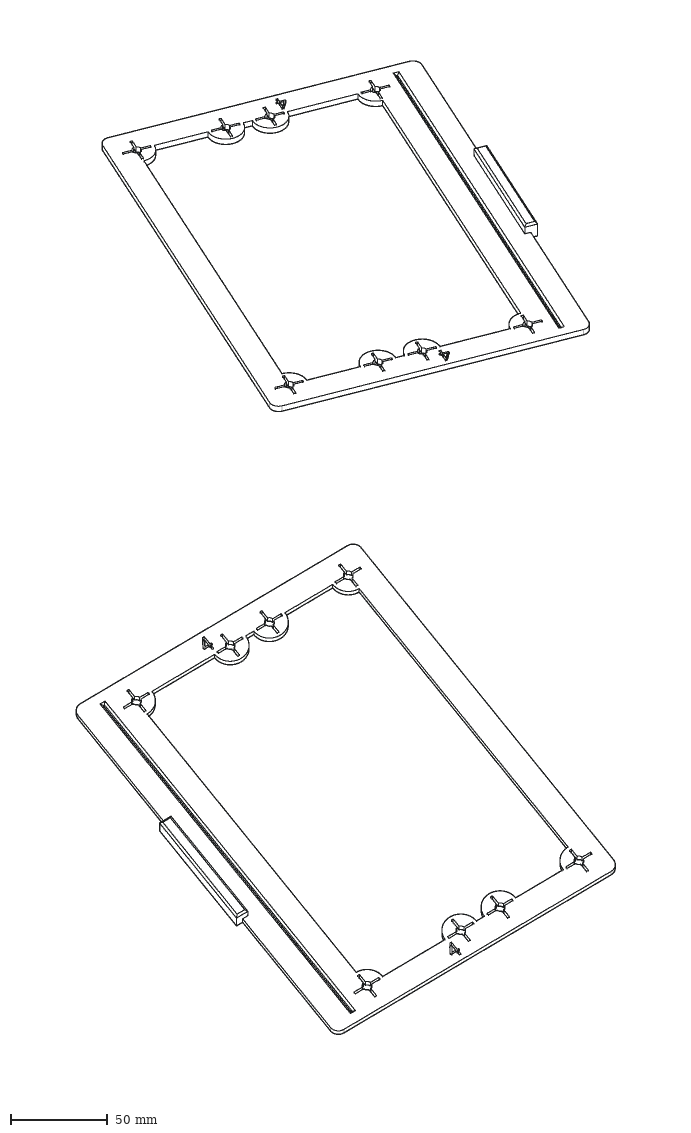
import cadquery as cq
import math

frame_length = 240.0
opening_length = 210.0
side_border = (frame_length - opening_length) / 2
top_border = 30.0
opening_height = 133.5
frame_depth = opening_height + side_border + top_border
frame_thickness = 3.5
corner_radius = 5.0

opening_right = opening_length / 2
opening_top = opening_height / 2
frame_front = -opening_top - side_border
frame_back = opening_top + top_border

mark_rows = [-opening_top, -17.0, 7.7, opening_top]
pad_radius = 9.8
mark_hole_diameter = 5.0
cross_length = 15.5
cross_width = 1.2

slit_length = 228.0
slit_width = 0.7
slit_chamfer = 1.2
slit_from_back = 15.0

handle_length = 70.0
handle_depth = 7.2
handle_height = 9.0
handle_overhang = 3.8
handle_chamfer = 1.2

index_x = opening_right + side_border / 2
index_y = 16.3
index_stroke = 1.0
stem_length = 8.6
crossbar_start = -2.0
crossbar_tail = 1.5
crossbar_reach = 3.8

stem_tip = stem_length / 2
stem_side = index_stroke / 2
crossbar_end = crossbar_start + index_stroke


def mark_positions():
    return [(side * opening_right, row) for side in (-1, 1) for row in mark_rows]


def at_marks():
    return cq.Workplane("XY").pushPoints(mark_positions())


def make_plate():
    plate = (
        cq.Workplane("XY")
        .rect(frame_length, frame_depth)
        .extrude(frame_thickness)
        .edges("|Z")
        .fillet(corner_radius)
        .translate((0, (frame_front + frame_back) / 2, 0))
    )
    opening = cq.Workplane("XY").rect(opening_length, opening_height).extrude(frame_thickness)
    return plate.cut(opening)


def make_handle():
    return (
        cq.Workplane("XY")
        .box(handle_length, handle_depth, handle_height, centered=(True, True, False))
        .faces(">Z")
        .edges()
        .chamfer(handle_chamfer)
        .translate((0, frame_back + handle_overhang - handle_depth / 2, 0))
    )


def make_slit():
    slit_y = frame_back - slit_from_back
    mouth_growth = 2 * slit_chamfer
    throat = cq.Workplane("XY").rect(slit_length - mouth_growth, slit_width).extrude(frame_thickness)
    mouth = (
        cq.Workplane("XY", origin=(0, 0, frame_thickness))
        .rect(slit_length, slit_width + mouth_growth)
        .workplane(offset=-slit_chamfer)
        .rect(slit_length - mouth_growth, slit_width)
        .loft(ruled=True)
    )
    return throat.union(mouth).translate((0, slit_y, 0))


def make_index_cutter():
    stem = cq.Workplane("XY").rect(stem_length, index_stroke).extrude(frame_thickness)
    crossbar = (
        cq.Workplane("XY")
        .moveTo(crossbar_start, -crossbar_tail)
        .lineTo(crossbar_end, -crossbar_tail)
        .lineTo(crossbar_end, crossbar_reach)
        .lineTo(crossbar_start, crossbar_reach)
        .close()
        .extrude(frame_thickness)
    )
    triangle = (
        cq.Workplane("XY")
        .moveTo(crossbar_end, stem_side)
        .lineTo(stem_tip, stem_side)
        .lineTo(crossbar_end, crossbar_reach)
        .close()
        .extrude(frame_thickness)
    )
    return stem.union(crossbar).union(triangle)


def make_island():
    slant_run = stem_tip - crossbar_end
    slant_rise = crossbar_reach - stem_side
    island_height = slant_rise - index_stroke * math.hypot(slant_run, slant_rise) / slant_run
    island_length = island_height * slant_run / slant_rise
    return (
        cq.Workplane("XY")
        .moveTo(crossbar_end, stem_side)
        .lineTo(crossbar_end + island_length, stem_side)
        .lineTo(crossbar_end, stem_side + island_height)
        .close()
        .extrude(frame_thickness)
    )


def make_frame():
    pads = at_marks().circle(pad_radius).extrude(frame_thickness)
    holes = at_marks().circle(mark_hole_diameter / 2).extrude(frame_thickness)
    slits_along_x = at_marks().rect(cross_length, cross_width).extrude(frame_thickness)
    slits_along_y = at_marks().rect(cross_width, cross_length).extrude(frame_thickness)
    body = make_plate().union(pads).union(make_handle())
    body = body.cut(holes).cut(slits_along_x).cut(slits_along_y).cut(make_slit())
    for place in index_places:
        body = body.cut(make_index_cutter().translate(place))
    return body


index_places = [(side * index_x, index_y, 0) for side in (-1, 1)]
frame = make_frame()
islands = [make_island().translate(place) for place in index_places]

result = cq.Compound.makeCompound([frame.val(), *[island.val() for island in islands]])